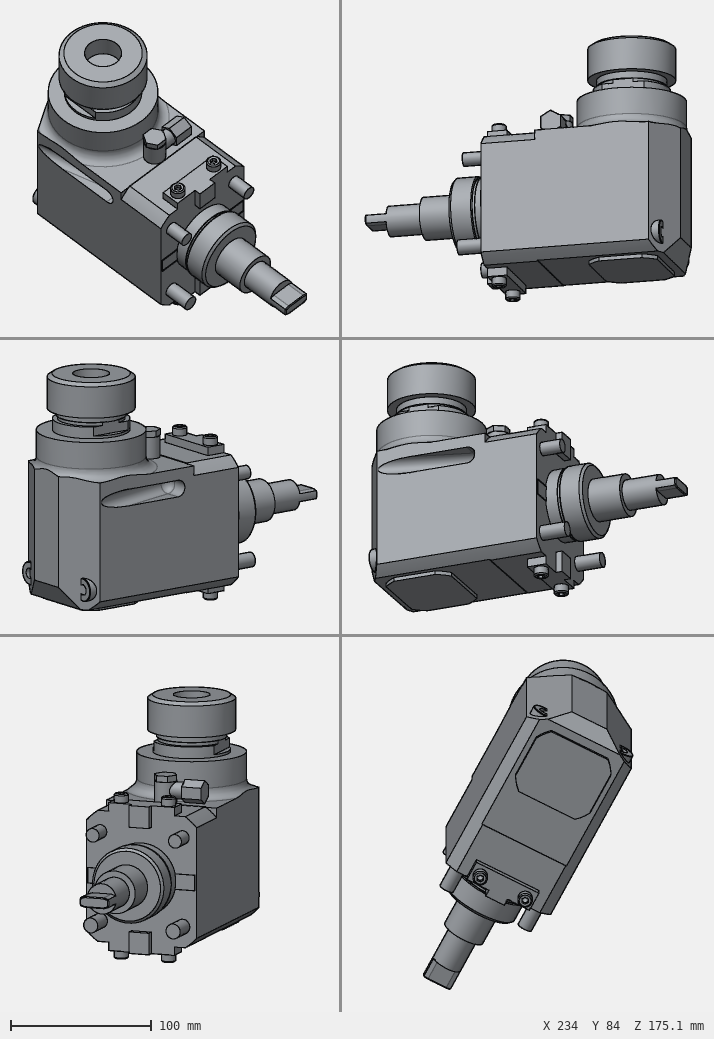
import cadquery as cq
import math


overall_length = 234.0
body_width = 84.0

body_left = -40.0
body_right = 99.6
body_half_width = body_width / 2
body_half_height = 47.0
round_radius = 58.0
rear_start = 59.9
rear_half_height = 47.5
nose_corner_x = -24.0
nose_half_width = 14.0
nose_bevel_length = 8.5
nose_bevel_height = 14.5

flange_radius = 39.0
flange_top = 74.4
flange_fillet = 8.0
collar_radius = 27.5
collar_top = 82.8
flat_offset = 23.0
flat_bottom = 76.3
neck_radius = 24.0
neck_top = 85.4
seat_radius = 25.0
seat_top = 90.3
nut_radius = 31.3
nut_top = 115.5
nut_bevel_width = 3.5
nut_bevel_height = 2.3
bore_radius = 13.0
bore_depth = 15.2

strip_half_width = 40.7
strip_half_height = 5.5
strip_thickness = 0.58

hub_radius = 26.2
hub_end = 108.8
groove_radius = 25.5
groove_end = 110.6
pilot_radius = 27.1
pilot_end = 128.0
pilot_bevel = 1.9
pilot_back_bevel = 0.7
journal_radius = 15.5
journal_end = 152.5
stem_radius = 11.0
stem_end = 178.5
tang_end = body_left + overall_length
tang_half_thickness = 4.0
tang_edge_half_thickness = 2.8
tang_flat_half_width = 7.3
tang_bevel = 0.7

bolt_y = 31.3
bolt_z = 32.3
upper_bolt_radius = 5.0
upper_bolt_end = 115.0
lower_bolt_radius = 5.4
lower_bolt_end = 118.8
bolt_head_radius = 8.5
bolt_head_x = -31.3
bolt_head_length = 14.0
bolt_head_bevel = 0.5
bolt_socket_radius = 3.7
bolt_socket_depth = 7.0

plate_left = 85.1
plate_half_width = 25.0
plate_top = 53.5
key_half_width = 7.5
key_right = 104.5
key_bottom = 38.0
screw_x = 92.9
screw_y = 18.0
screw_radius = 5.1
screw_top = 59.6
screw_bevel = 1.0
screw_hex_size = 4.5
screw_hex_depth = 2.8
screw_cone_depth = 2.0

elbow_x = 51.7
elbow_radius = 8.0
elbow_shoulder = 62.7
elbow_top = 67.1
hex_across_flats = 14.5
pipe_radius = 6.0
pipe_z = 56.1
pipe_hex_start = 14.7
pipe_hex_end = 29.7

cover_half_length = 25.3
cover_half_width = 30.0
cover_radius = 34.0
cover_bottom = -49.8

slot_radius = 6.0
slot_z = 32.5
slot_start = 0.7
slot_end = 45.5
slot_depth = 12.0


def block(x0, x1, y0, y1, z0, z1):
    return cq.Workplane("XY").box(x1 - x0, y1 - y0, z1 - z0, centered=False).translate((x0, y0, z0))


def rod_x(x0, x1, radius, y=0, z=0):
    return cq.Workplane("YZ", origin=(x0, y, z)).circle(radius).extrude(x1 - x0)


def disc_z(z0, z1, radius, x=0, y=0):
    return cq.Workplane("XY", origin=(x, y, z0)).circle(radius).extrude(z1 - z0)


def hexagon(workplane, across_flats, length):
    """Hexagonal prism with two of its flats facing along X."""
    circumscribed = across_flats / math.cos(math.radians(30))
    return workplane.transformed(rotate=(0, 0, 30)).polygon(6, circumscribed).extrude(length)


def make_housing():
    turned = rod_x(body_left, body_right, round_radius)
    front = block(body_left, rear_start, -body_half_width, body_half_width, -body_half_height, 0)
    front = front.intersect(turned)
    front = front.union(
        block(body_left, rear_start, -body_half_width, body_half_width, 0, body_half_height)
    )
    rear = block(
        rear_start, body_right, -body_half_width, body_half_width, -rear_half_height, rear_half_height
    ).intersect(turned)
    fillet_top = body_half_height + flange_fillet
    neck = (
        cq.Workplane("XZ")
        .moveTo(0, 0)
        .lineTo(flange_radius + flange_fillet, 0)
        .lineTo(flange_radius + flange_fillet, body_half_height)
        .radiusArc((flange_radius, fillet_top), flange_fillet)
        .lineTo(flange_radius, flange_top)
        .lineTo(0, flange_top)
        .close()
        .revolve(360, (0, 0), (0, 1))
    )
    outline = (
        cq.Workplane("XY", origin=(0, 0, -rear_half_height))
        .moveTo(body_left, -nose_half_width)
        .lineTo(nose_corner_x, -body_half_width)
        .lineTo(body_right, -body_half_width)
        .lineTo(body_right, body_half_width)
        .lineTo(nose_corner_x, body_half_width)
        .lineTo(body_left, nose_half_width)
        .close()
        .extrude(rear_half_height + flange_top)
    )
    nose_bevel = (
        cq.Workplane("XZ")
        .moveTo(body_left, -body_half_height)
        .lineTo(body_left + nose_bevel_length, -body_half_height)
        .lineTo(body_left, -body_half_height + nose_bevel_height)
        .close()
        .extrude(body_half_width, both=True)
    )
    return front.union(rear).union(neck).intersect(outline).cut(nose_bevel)


def make_slot():
    """Ball-ended cutter path that ramps into the -Y side and leaves straight walls outside its axis."""
    side = -body_half_width
    deep = (slot_end, side + slot_depth, slot_z)
    ramp_slope = slot_depth / (slot_end - slot_start)
    lead_in = 3 * slot_radius / ramp_slope
    start = cq.Vector(slot_start - lead_in, side - lead_in * ramp_slope, slot_z)
    path = cq.Vector(*deep) - start
    ramp = cq.Workplane(cq.Solid.makeCylinder(slot_radius, path.Length, start, path))
    ball = cq.Workplane("XY").sphere(slot_radius).translate(deep)
    walls = (
        cq.Workplane("XY", origin=(0, 0, slot_z - slot_radius))
        .moveTo(slot_start, side)
        .lineTo(slot_end, side)
        .lineTo(slot_end, side + slot_depth)
        .close()
        .extrude(2 * slot_radius)
    )
    end_wall = cq.Workplane("XZ", origin=deep).circle(slot_radius).extrude(slot_depth)
    return ramp.union(ball).union(walls).union(end_wall)


def make_spindle():
    flat_band = block(
        -collar_radius, collar_radius, -flat_offset, flat_offset, flat_bottom, neck_top
    )
    grip = disc_z(flat_bottom, collar_top, collar_radius)
    grip = grip.union(disc_z(collar_top, neck_top, neck_radius)).intersect(flat_band)
    nut = (
        cq.Workplane("XZ")
        .moveTo(0, seat_top)
        .lineTo(nut_radius, seat_top)
        .lineTo(nut_radius, nut_top - nut_bevel_height)
        .lineTo(nut_radius - nut_bevel_width, nut_top)
        .lineTo(0, nut_top)
        .close()
        .revolve(360, (0, 0), (0, 1))
    )
    spindle = disc_z(flange_top, flat_bottom, collar_radius).union(grip)
    spindle = spindle.union(disc_z(neck_top, seat_top, seat_radius)).union(nut)
    return spindle.cut(disc_z(nut_top - bore_depth, nut_top, bore_radius))


def make_shaft():
    pilot = rod_x(groove_end, pilot_end, pilot_radius).faces(">X").chamfer(pilot_bevel)
    pilot = pilot.faces("<X").chamfer(pilot_back_bevel)
    tang = (
        cq.Workplane("YZ", origin=(stem_end, 0, 0))
        .moveTo(-tang_flat_half_width, tang_half_thickness)
        .lineTo(tang_flat_half_width, tang_half_thickness)
        .lineTo(stem_radius, tang_edge_half_thickness)
        .lineTo(stem_radius, -tang_edge_half_thickness)
        .lineTo(tang_flat_half_width, -tang_half_thickness)
        .lineTo(-tang_flat_half_width, -tang_half_thickness)
        .lineTo(-stem_radius, -tang_edge_half_thickness)
        .lineTo(-stem_radius, tang_edge_half_thickness)
        .close()
        .extrude(tang_end - stem_end)
        .intersect(rod_x(stem_end, tang_end, stem_radius))
        .faces(">X")
        .chamfer(tang_bevel)
    )
    return (
        rod_x(body_right, hub_end, hub_radius)
        .union(rod_x(hub_end, groove_end, groove_radius))
        .union(pilot)
        .union(rod_x(pilot_end, journal_end, journal_radius))
        .union(rod_x(journal_end, stem_end, stem_radius))
        .union(tang)
    )


def make_strip():
    """Strip that shows on both sides of the shaft hub."""
    return block(
        body_right, body_right + strip_thickness,
        -strip_half_width, strip_half_width,
        -strip_half_height, strip_half_height,
    )


def make_bolts():
    """Bolt ends behind the housing, and lower bolt heads whose sockets reach back to the bevelled faces."""
    bolts = cq.Workplane("XY")
    for y in (-bolt_y, bolt_y):
        bolts = bolts.union(rod_x(body_right, upper_bolt_end, upper_bolt_radius, y, bolt_z))
        bolts = bolts.union(rod_x(body_right, lower_bolt_end, lower_bolt_radius, y, -bolt_z))
        head_end = bolt_head_x + bolt_head_length
        head = rod_x(bolt_head_x, head_end, bolt_head_radius, y, -bolt_z).faces("<X").chamfer(bolt_head_bevel)
        socket_end = bolt_head_x + bolt_socket_depth
        socket = rod_x(bolt_head_x, socket_end, bolt_socket_radius, y, -bolt_z)
        bolts = bolts.union(head.cut(socket))
    return bolts


def make_key_plate():
    """Upper key plate with its tongue over the rear face and two socket screws."""
    plate = block(
        plate_left, body_right, -plate_half_width, plate_half_width, rear_half_height, plate_top
    )
    plate = plate.union(block(body_right, key_right, -key_half_width, key_half_width, key_bottom, plate_top))
    for y in (-screw_y, screw_y):
        head = disc_z(plate_top, screw_top, screw_radius, screw_x, y).faces(">Z").chamfer(screw_bevel)
        socket_plane = cq.Workplane("XY", origin=(screw_x, y, screw_top))
        hex_socket = hexagon(socket_plane, screw_hex_size, -screw_hex_depth)
        cone_top = cq.Vector(screw_x, y, screw_top - screw_hex_depth)
        down = cq.Vector(0, 0, -1)
        drill_point = cq.Solid.makeCone(screw_hex_size / 2, 0, screw_cone_depth, cone_top, down)
        plate = plate.union(head).cut(hex_socket).cut(cq.Workplane(drill_point))
    return plate


def make_elbow():
    riser = disc_z(body_half_height, elbow_shoulder, elbow_radius, elbow_x)
    cap = hexagon(
        cq.Workplane("XY", origin=(elbow_x, 0, elbow_shoulder)),
        hex_across_flats,
        elbow_top - elbow_shoulder,
    )
    pipe = cq.Workplane("XZ", origin=(elbow_x, 0, pipe_z)).circle(pipe_radius).extrude(-pipe_hex_start)
    pipe_nut = hexagon(
        cq.Workplane("XZ", origin=(elbow_x, pipe_hex_start, pipe_z)),
        hex_across_flats,
        pipe_hex_start - pipe_hex_end,
    )
    return riser.union(cap).union(pipe).union(pipe_nut)


def make_cover():
    return disc_z(cover_bottom, -body_half_height, cover_radius).intersect(
        block(
            -cover_half_length, cover_half_length,
            -cover_half_width, cover_half_width,
            cover_bottom, -body_half_height,
        )
    )


key_plate = make_key_plate()
result = (
    make_housing()
    .cut(make_slot())
    .union(make_spindle())
    .union(make_shaft())
    .union(make_strip())
    .union(make_bolts())
    .union(key_plate)
    .union(key_plate.mirror("XY"))
    .union(make_elbow())
    .union(make_cover())
)